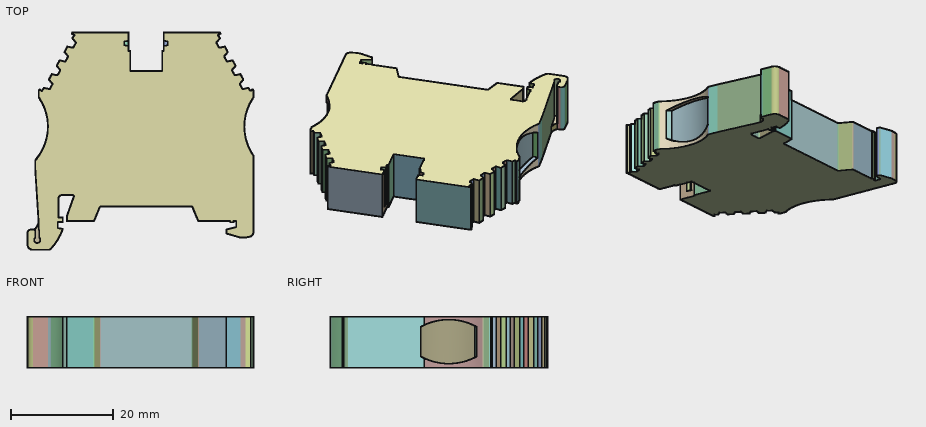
import cadquery as cq
import math


thickness = 10.0
height = 42.5
half_width = 21.0
hook_left = -23.2
web_thickness = 1.4

notch_half_width = 3.1
notch_mouth_half_width = 3.4
notch_floor_y = 35.0
notch_step_y = 38.9
groove_depth = 0.85
groove_top_y = 40.9
groove_bottom_y = 39.8
groove_taper = 0.2

flank_notch_count = 4
flank_pitch_x = 1.523
flank_pitch_y = -2.69
flank_root = (13.72, 40.5)
flank_shoulder = (14.28, 39.5)
flank_ledge = (15.38, 39.75)
flank_tip = (15.97, 38.65)
top_edge_notch = [(14.4, height), (14.55, 42.25), (14.02, 41.95)]
shoulder_notch = [(20.38, 31.07), (20.8, 31.4), (half_width, 31.1)]

recess_radius = 10.0
recess_center_x = 29.2
recess_center_y = 24.1

pocket_depth = 1.0
pocket_top_y = 28.6
pocket_floor_top_y = 28.2
pocket_bottom_y = 17.7
pocket_mid_y = 23.0
pocket_mid_z = 5.1
pocket_half_height = 4.3
pocket_end_half_height = 2.9
pocket_reach = 4.0

side_left_x = -21.7
side_bend = (-21.65, 15.2)
leg_end = (-21.02, 5.4)

slot_left_x = -21.65
keyhole_center = (-21.28, 1.95)
keyhole_radius = 0.6
hook_top_y = 4.0
web_corner_x = -21.85
web_arc_sag = 0.1
hook_lip_drop = 0.2
hook_lip_width = 0.1

foot_end_x = -18.8
foot_corner = (-16.25, 4.1)
foot_curve = (-17.4, 1.75)
lip_x = -16.25
rail_groove_x = -17.25
rail_groove_bottom_y = 4.3
rail_groove_top_y = 5.45
lip_top_y = 6.35
relief_left_x = -17.1
relief_top_y = 10.7
relief_right_x = -14.05
relief_throat = (-15.5, 6.6)

base_y = 5.65
rail_face_y = 8.45
rail_face_half_width = 9.0
rail_base_half_width = 10.15

bump_left_x = 16.4
bump_right_x = 17.1
bump_y = 5.4
fixed_groove_x = 17.6
fixed_groove_y = 4.5
fixed_tip_x = 15.65
fixed_tip_top_y = 4.0
fixed_tip_bottom_y = 3.2
fixed_heel_y = 2.4
fixed_heel_left_x = 18.4
fixed_heel_right_x = 19.4
fixed_heel_end = (20.4, 2.6)
fixed_side_y = 3.5
fixed_corner_mid = (20.8, 2.95)

hook_heel_radius = 1.1
hook_top_radius = 0.7
foot_radius = 0.8
relief_radius = 0.7
side_corner_radius = 0.6
recess_edge_radius = 0.5
shoulder_radius = 0.3
small_radius = 0.2


def recess_x(y):
    """Distance of the finger recess surface from X = 0 at height y."""
    return recess_center_x - math.sqrt(recess_radius**2 - (y - recess_center_y) ** 2)


def recess_y(x):
    """Lower height at which the finger recess surface is at distance x from X = 0."""
    return recess_center_y - math.sqrt(recess_radius**2 - (recess_center_x - x) ** 2)


def recess_top_y():
    """Height at which the finger recess runs out into the side wall above it."""
    return 2 * recess_center_y - recess_y(half_width)


def mirrored(points):
    """Reflect points across X = 0 and reverse their order."""
    return [(-x, y) for x, y in reversed(points)]


def flank_points():
    """Right-hand stepped flank, from the top edge down to the finger recess."""
    points = top_edge_notch + [(flank_tip[0] - flank_pitch_x, flank_tip[1] - flank_pitch_y)]
    for i in range(flank_notch_count):
        corners = [flank_root, flank_shoulder, flank_ledge]
        if i < flank_notch_count - 1:
            corners.append(flank_tip)
        points += [(x + i * flank_pitch_x, y + i * flank_pitch_y) for x, y in corners]
    return points + shoulder_notch + [(half_width, recess_top_y())]


def notch_points():
    """Right-hand wall of the marker notch, from its floor to the top edge."""
    return [
        (notch_half_width, notch_floor_y),
        (notch_half_width, notch_step_y),
        (notch_mouth_half_width, notch_step_y),
        (notch_mouth_half_width, height),
    ]


def housing():
    """Full-thickness outline, walked clockwise from the notch floor."""
    upper_right = notch_points() + flank_points()
    recess_bottom = (half_width, recess_y(half_width))
    recess_mid = (recess_center_x - recess_radius, recess_center_y)
    left_corner = (side_left_x, recess_y(-side_left_x))
    fixed_foot = [
        (fixed_heel_right_x, fixed_heel_y),
        (fixed_heel_left_x, fixed_heel_y),
        (fixed_tip_x, fixed_tip_bottom_y),
        (fixed_tip_x, fixed_tip_top_y),
        (fixed_groove_x, fixed_groove_y),
        (fixed_groove_x, base_y),
        (bump_right_x, base_y),
        (bump_right_x, bump_y),
        (bump_left_x, bump_y),
        (bump_left_x, base_y),
    ]
    underside = [
        (rail_base_half_width, base_y),
        (rail_face_half_width, rail_face_y),
        (-rail_face_half_width, rail_face_y),
        (-rail_base_half_width, base_y),
        (relief_throat[0], base_y),
        relief_throat,
        (relief_right_x, relief_top_y),
        (relief_left_x, relief_top_y),
        (relief_left_x, lip_top_y),
        (lip_x, lip_top_y),
        (lip_x, rail_groove_top_y),
        (rail_groove_x, rail_groove_top_y),
        (rail_groove_x, rail_groove_bottom_y),
        foot_corner,
    ]
    hook = [
        (hook_left, 0),
        (hook_left, hook_top_y),
        (web_corner_x, hook_top_y),
    ]
    web_arc_mid = (
        (web_corner_x + leg_end[0]) / 2 + web_arc_sag,
        (hook_top_y + leg_end[1]) / 2 - web_arc_sag,
    )
    outline = (
        cq.Workplane("XY")
        .polyline(upper_right)
        .threePointArc(recess_mid, recess_bottom)
        .lineTo(half_width, fixed_side_y)
        .threePointArc(fixed_corner_mid, fixed_heel_end)
    )
    for point in fixed_foot + underside:
        outline = outline.lineTo(*point)
    outline = outline.threePointArc(foot_curve, (foot_end_x, 0))
    for point in hook:
        outline = outline.lineTo(*point)
    outline = outline.threePointArc(web_arc_mid, leg_end).lineTo(*side_bend).lineTo(*left_corner)
    outline = outline.threePointArc((-recess_mid[0], recess_mid[1]), (-half_width, recess_top_y()))
    for point in mirrored(upper_right)[1:]:
        outline = outline.lineTo(*point)
    return outline.close().extrude(thickness)


def round_corners(body):
    """Round the corners of the outline that are not sharp."""
    corners = [
        ((-half_width, recess_top_y()), recess_edge_radius),
        ((half_width, recess_top_y()), recess_edge_radius),
        ((-shoulder_notch[-1][0], shoulder_notch[-1][1]), shoulder_radius),
        (shoulder_notch[-1], shoulder_radius),
        ((hook_left, 0), hook_heel_radius),
        ((hook_left, hook_top_y), hook_top_radius),
        ((foot_end_x, 0), foot_radius),
        ((relief_left_x, relief_top_y), relief_radius),
        ((relief_right_x, relief_top_y), small_radius),
        ((rail_face_half_width, rail_face_y), small_radius),
        ((-rail_face_half_width, rail_face_y), small_radius),
        ((rail_base_half_width, base_y), small_radius),
        ((-rail_base_half_width, base_y), small_radius),
        ((side_left_x, recess_y(-side_left_x)), side_corner_radius),
        ((fixed_tip_x, fixed_tip_top_y), small_radius),
        ((fixed_tip_x, fixed_tip_bottom_y), small_radius),
    ]
    reach = 0.05
    for (x, y), radius in corners:
        near_corner = cq.selectors.BoxSelector(
            (x - reach, y - reach, 0), (x + reach, y + reach, thickness)
        )
        body = body.edges("|Z").edges(near_corner).fillet(radius)
    return body


def above_web(sketch):
    """Extrude a closed outline drawn on top of the web up to the upper face."""
    return sketch.extrude(thickness - web_thickness)


def keyhole_slot():
    """Slot that frees the hook from the leg, ending in a round hole."""
    leg_slope = (leg_end[0] - side_bend[0]) / (leg_end[1] - side_bend[1])
    slot_right_x = leg_end[0] + leg_slope * (keyhole_center[1] - leg_end[1])
    plane = cq.Workplane("XY", origin=(0, 0, web_thickness))
    hole = above_web(plane.center(*keyhole_center).circle(keyhole_radius))
    neck = above_web(
        plane.polyline(
            [
                (slot_left_x, keyhole_center[1]),
                (slot_left_x, hook_top_y - hook_lip_drop),
                (web_corner_x - hook_lip_width, hook_top_y),
                (web_corner_x, leg_end[1]),
                leg_end,
                (slot_right_x, keyhole_center[1]),
            ]
        ).close()
    )
    return hole.union(neck)


def notch_groove():
    """Tapered groove in the right-hand wall of the marker notch."""
    wall_x = notch_mouth_half_width
    bottom_x = wall_x + groove_depth
    plane = cq.Workplane("XY", origin=(0, 0, web_thickness))
    return above_web(
        plane.polyline(
            [
                (wall_x, groove_top_y),
                (bottom_x, groove_top_y - groove_taper),
                (bottom_x, groove_bottom_y + groove_taper),
                (wall_x, groove_bottom_y),
            ]
        ).close()
    )


def finger_pocket():
    """Lens-shaped pocket in the right-hand finger recess; its floor follows the recess."""
    outer_x = half_width + pocket_reach
    floor_top_x = recess_x(pocket_floor_top_y) - pocket_depth
    depth_profile = (
        cq.Workplane("XY")
        .moveTo(outer_x, pocket_top_y)
        .lineTo(recess_x(pocket_top_y), pocket_top_y)
        .lineTo(floor_top_x, pocket_floor_top_y)
        .threePointArc(
            (recess_center_x - recess_radius - pocket_depth, recess_center_y),
            (recess_x(pocket_bottom_y) - pocket_depth, pocket_bottom_y),
        )
        .lineTo(outer_x, pocket_bottom_y)
        .close()
        .extrude(thickness)
    )
    low_end = pocket_mid_z - pocket_end_half_height
    high_end = pocket_mid_z + pocket_end_half_height
    lens = (
        cq.Workplane("YZ")
        .moveTo(pocket_bottom_y, low_end)
        .threePointArc((pocket_mid_y, pocket_mid_z - pocket_half_height), (pocket_top_y, low_end))
        .lineTo(pocket_top_y, high_end)
        .threePointArc((pocket_mid_y, pocket_mid_z + pocket_half_height), (pocket_bottom_y, high_end))
        .close()
        .extrude(outer_x)
    )
    return depth_profile.intersect(lens)


body = round_corners(housing()).cut(keyhole_slot())
for feature in (notch_groove(), finger_pocket()):
    body = body.cut(feature).cut(feature.mirror("YZ"))

result = body